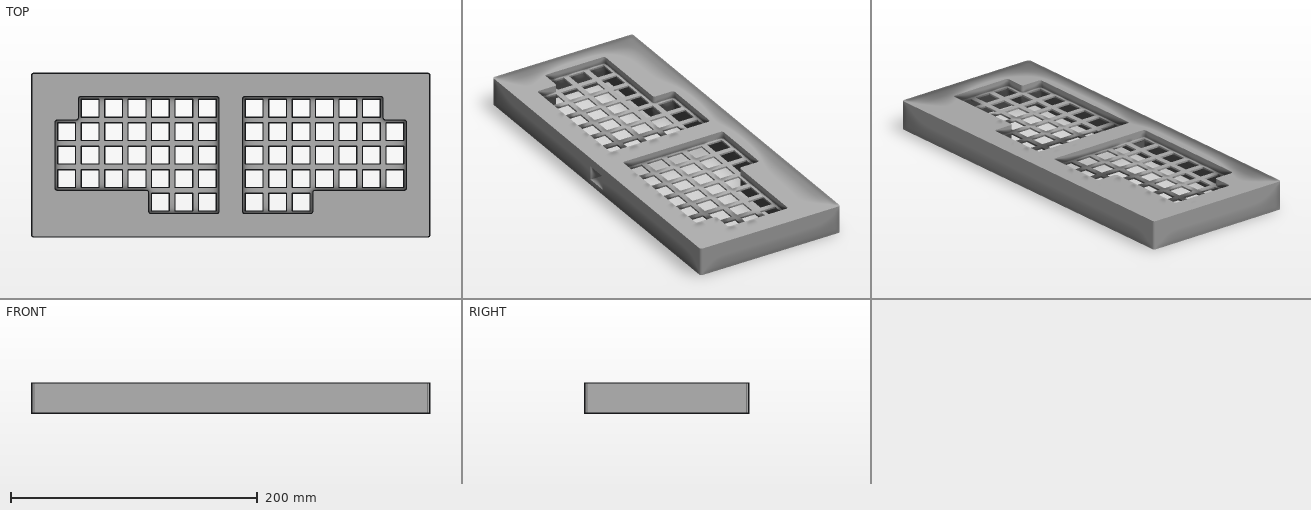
import cadquery as cq

WIDTH = 323.0
COLUMNS_ACROSS = 17
ROWS_ACROSS = 7
PITCH = WIDTH / COLUMNS_ACROSS
DEPTH = ROWS_ACROSS * PITCH
HEIGHT = 25.0
CORNER_RADIUS = 2.0

PLATE_RECESS = 6.0
PLATE_THICKNESS = 1.5
SWITCH_OPENING = 14.2
PLATE_TOP = HEIGHT - PLATE_RECESS
PLATE_BOTTOM = PLATE_TOP - PLATE_THICKNESS

KEYS_PER_ROW = [6, 7, 7, 7, 3]
BAR_WIDTH = PITCH
FIRST_KEY_EDGE = BAR_WIDTH / 2
KEYS_BACK = len(KEYS_PER_ROW) * PITCH / 2

BASE_RECESS = 4.0

PASSAGE_FLOOR = 5.0


def box_between_heights(width, depth, bottom, top):
    """Box centred on the Z axis, reaching from one height to another."""
    return cq.Workplane("XY").workplane(offset=bottom).rect(width, depth).extrude(top - bottom)


def row_centre(row):
    """Y of the middle of a key row, counted from the back."""
    return KEYS_BACK - (row + 0.5) * PITCH


def make_key_area(bottom, top):
    """Stepped prism covering both key blocks and the strip between them."""
    area = None
    for row, keys in enumerate(KEYS_PER_ROW):
        row_width = 2 * (FIRST_KEY_EDGE + keys * PITCH)
        strip = box_between_heights(row_width, PITCH, bottom, top).translate((0, row_centre(row), 0))
        area = strip if area is None else area.union(strip)
    return area.clean()


def make_lower_well():
    """Single open cavity under the whole key plate."""
    return make_key_area(0, PLATE_BOTTOM).edges("|Z").fillet(CORNER_RADIUS)


def make_upper_wells():
    """Two recesses above the key plate, separated by the central bar."""
    bar = box_between_heights(BAR_WIDTH, DEPTH, PLATE_TOP, HEIGHT)
    return make_key_area(PLATE_TOP, HEIGHT).cut(bar).edges("|Z").fillet(CORNER_RADIUS)


def make_switch_openings():
    """One square cutter through the key plate for each key of both halves."""
    centres = []
    for row, keys in enumerate(KEYS_PER_ROW):
        for column in range(keys):
            x = FIRST_KEY_EDGE + (column + 0.5) * PITCH
            centres.append((x, row_centre(row)))
            centres.append((-x, row_centre(row)))
    plate_plane = cq.Workplane("XY").workplane(offset=PLATE_BOTTOM)
    return plate_plane.pushPoints(centres).rect(SWITCH_OPENING, SWITCH_OPENING).extrude(PLATE_THICKNESS)


def make_base_recess():
    """Shallow rounded rectangle in the underside, flush with the outermost walls of the lower well."""
    width = 2 * (FIRST_KEY_EDGE + max(KEYS_PER_ROW) * PITCH)
    return box_between_heights(width, 2 * KEYS_BACK, 0, BASE_RECESS).edges("|Z").fillet(CORNER_RADIUS)


def make_cable_passage():
    """Box from the middle of the lower well out through the back wall, under the bar."""
    length = DEPTH / 2
    return box_between_heights(BAR_WIDTH, length, PASSAGE_FLOOR, PLATE_BOTTOM).translate((0, length / 2, 0))


case = box_between_heights(WIDTH, DEPTH, 0, HEIGHT).edges("|Z").fillet(CORNER_RADIUS)
cutters = [
    make_upper_wells(),
    make_switch_openings(),
    make_lower_well(),
    make_base_recess(),
    make_cable_passage(),
]
for cutter in cutters:
    case = case.cut(cutter)
result = case